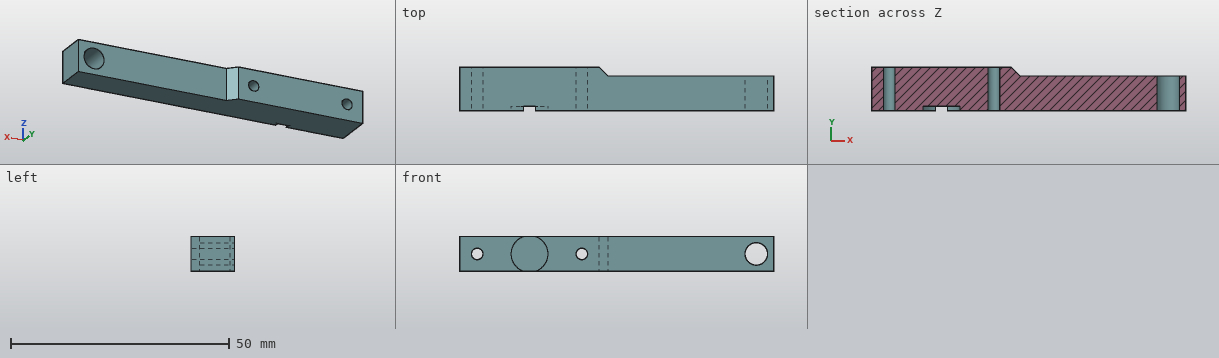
import cadquery as cq

length = 72.0
width = 10.0
height = 8.0

ramp_start = 32.0
step_depth = 2.0

pin_hole_diameter = 2.6
pin_hole_positions = (4.0, 28.0)
pivot_hole_diameter = 5.1
pivot_hole_end_distance = 4.0
recess_diameter = 8.4
recess_depth = 1.0
recess_position = sum(pin_hole_positions) / 2


def front_cylinder(x, diameter, depth):
    """Cylinder running along +Y from the front face at mid height."""
    center = cq.Vector(x, 0, height / 2)
    return cq.Workplane(cq.Solid.makeCylinder(diameter / 2, depth, center, cq.Vector(0, 1, 0)))


arm_width = width - step_depth
result = (
    cq.Workplane("XY")
    .moveTo(0, 0)
    .lineTo(length, 0)
    .lineTo(length, arm_width)
    .lineTo(ramp_start + step_depth, arm_width)
    .lineTo(ramp_start, width)
    .lineTo(0, width)
    .close()
    .extrude(height)
)

for pin_x in pin_hole_positions:
    result = result.cut(front_cylinder(pin_x, pin_hole_diameter, width))
result = result.cut(front_cylinder(length - pivot_hole_end_distance, pivot_hole_diameter, width))

result = result.cut(front_cylinder(recess_position, recess_diameter, recess_depth))